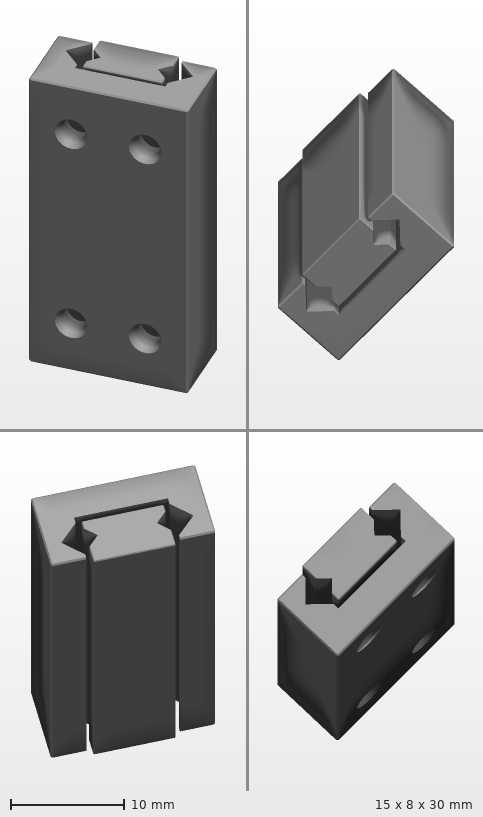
import cadquery as cq

length = 30.0

rail_width = 15.0
rail_height = 7.5
rail_chamfer = 0.15
channel_floor = 3.0
channel_width = 8.55
rail_groove_depth = 1.75

carriage_width = 7.5
carriage_bottom = 3.5
carriage_top = 8.0
carriage_chamfer = 0.1
carriage_groove_depth = 1.05

groove_axis = 5.35

hole_diameter = 2.5
hole_mouth_diameter = 3.05
hole_depth = 2.4
countersink_depth = 0.45
hole_spacing_x = 7.0
hole_spacing_z = 20.0


def chamfered_bar(width, bottom, top, chamfer):
    """Bar along Z, centred on X and Z, with all its edges chamfered."""
    height = top - bottom
    return (
        cq.Workplane("XY")
        .box(width, height, length)
        .translate((0, (bottom + top) / 2, 0))
        .edges()
        .chamfer(chamfer)
    )


def groove_prism(wall_x, depth):
    """Square prism along Z whose corners reach 'depth' to both sides of the wall."""
    return (
        cq.Workplane("XY")
        .workplane(offset=-length / 2)
        .moveTo(wall_x - depth, groove_axis)
        .lineTo(wall_x, groove_axis + depth)
        .lineTo(wall_x + depth, groove_axis)
        .lineTo(wall_x, groove_axis - depth)
        .close()
        .extrude(length)
    )


def cut_side_grooves(body, wall_distance, depth):
    """Cut a 90 degree V groove into each of two walls mirrored about X = 0."""
    for side in (-1, 1):
        body = body.cut(groove_prism(side * wall_distance, depth))
    return body


def mounting_holes():
    """Cutter for the four blind holes, each with a conical mouth at the base face."""
    hole_radius = hole_diameter / 2
    mouth_radius = hole_mouth_diameter / 2
    hole = (
        cq.Workplane("XY")
        .lineTo(mouth_radius, 0)
        .lineTo(hole_radius, countersink_depth)
        .lineTo(hole_radius, hole_depth)
        .lineTo(0, hole_depth)
        .close()
        .revolve(360, (0, 0), (0, 1))
    )
    cutter = cq.Workplane("XY")
    for side in (-1, 1):
        for end in (-1, 1):
            cutter = cutter.add(hole.translate((side * hole_spacing_x / 2, 0, end * hole_spacing_z / 2)))
    return cutter.combine()


def make_rail():
    channel_height = rail_height - channel_floor
    channel = cq.Workplane("XY").box(channel_width, channel_height, length).translate(
        (0, channel_floor + channel_height / 2, 0)
    )
    rail = chamfered_bar(rail_width, 0, rail_height, rail_chamfer).cut(channel)
    rail = cut_side_grooves(rail, channel_width / 2, rail_groove_depth)
    return rail.cut(mounting_holes())


def make_carriage():
    carriage = chamfered_bar(carriage_width, carriage_bottom, carriage_top, carriage_chamfer)
    return cut_side_grooves(carriage, carriage_width / 2, carriage_groove_depth)


rail = make_rail()
carriage = make_carriage()

result = cq.Compound.makeCompound([rail.val(), carriage.val()])